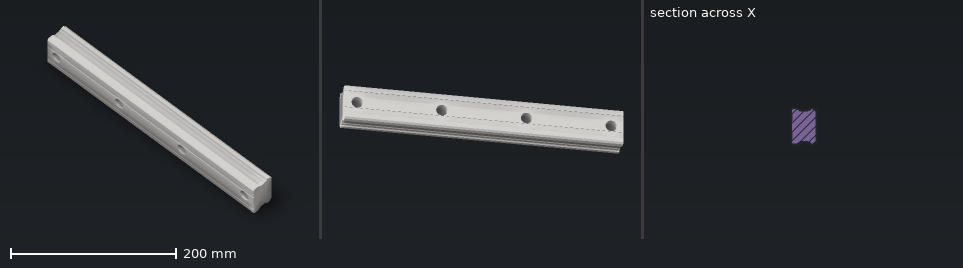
import cadquery as cq

length = 345.0
depth = 32.0
height = 45.0
half_depth = depth / 2
half_height = height / 2

hole_diameter = 14.0
hole_pitch = 105.0
hole_count = 4

groove_inner_z = 7.2
groove_outer_z = 15.0
groove_depth = 0.7

channel_floor_z = 19.3
channel_front_y = -3.5
channel_back_y = 3.8
front_chamfer = 2.0
front_land_back_y = -7.5
back_land_front_y = 8.0

back_land_back_y = 12.5
shoulder_z = 20.7
shoulder_run = 0.7
ledge_z = 20.5
ledge_front_y = 4.5
ledge_back_y = 6.2
rear_face_top_z = 19.0


def upper_outline():
    """Upper half of the YZ section, from the middle of the front face to the rear face."""
    front_y = -half_depth
    groove_floor_y = front_y + groove_depth
    return [
        (front_y, groove_inner_z),
        (groove_floor_y, groove_inner_z),
        (groove_floor_y, groove_outer_z),
        (front_y, groove_outer_z),
        (front_y, half_height - front_chamfer),
        (front_y + front_chamfer, half_height),
        (front_land_back_y, half_height),
        (channel_front_y, channel_floor_z),
        (channel_back_y, channel_floor_z),
        (ledge_front_y, ledge_z),
        (ledge_back_y, ledge_z),
        (back_land_front_y - shoulder_run, shoulder_z),
        (back_land_front_y, half_height),
        (back_land_back_y, half_height),
        (back_land_back_y + shoulder_run, shoulder_z),
        (half_depth, rear_face_top_z),
    ]


def make_rail():
    upper = upper_outline()
    lower = [(y, -z) for y, z in reversed(upper)]
    section = cq.Workplane("YZ").polyline(upper + lower).close()
    return section.extrude(length / 2, both=True)


def make_holes():
    return (
        cq.Workplane("XZ")
        .rarray(hole_pitch, 3.5, hole_count, 1)
        .circle(hole_diameter / 2)
        .extrude(depth, both=True)
    )


result = make_rail().cut(make_holes())